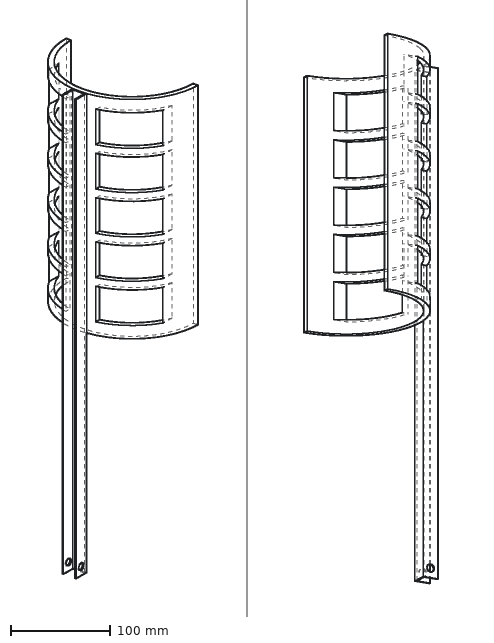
import cadquery as cq

shell_width = 170.0
shell_radius = shell_width / 2
shell_thickness = 6.5
shell_height = 270.0

window_rows = 5
window_height = 40.0
window_end_margin = 15.0
window_pitch = (shell_height - 2 * window_end_margin - window_height) / (window_rows - 1)
window_width = 54.5
left_window_x = -74.5
right_window_x = 19.0

rail_length = 540.0
rail_width = 18.0
rail_wall = 1.5
rail_front_y = -102.0
rail_back_y = -shell_radius
rail_depth = rail_back_y - rail_front_y

hole_diameter = 8.0
hole_height = 10.0

shell_bottom_z = rail_length - shell_height


def block(x_range, y_range, z_range):
    """Axis-aligned box between the given limits."""
    size = [high - low for low, high in (x_range, y_range, z_range)]
    corner = (x_range[0], y_range[0], z_range[0])
    return cq.Workplane("XY").box(*size, centered=False).translate(corner)


def make_shell():
    """Half tube with a column of windows on each side."""
    inner_radius = shell_radius - shell_thickness
    shell = (
        cq.Workplane("XY", origin=(0, 0, shell_bottom_z))
        .moveTo(-shell_radius, 0)
        .threePointArc((0, -shell_radius), (shell_radius, 0))
        .lineTo(inner_radius, 0)
        .threePointArc((0, -inner_radius), (-inner_radius, 0))
        .close()
        .extrude(shell_height)
    )
    for row in range(window_rows):
        window_bottom_z = shell_bottom_z + window_end_margin + row * window_pitch
        z_range = (window_bottom_z, window_bottom_z + window_height)
        for window_x in (left_window_x, right_window_x):
            x_range = (window_x, window_x + window_width)
            shell = shell.cut(block(x_range, (-shell_radius, 0), z_range))
    return shell


def make_rail():
    """Thin U-channel with a cross hole through its two flanges."""
    half_width = rail_width / 2
    bar = block((-half_width, half_width), (rail_front_y, rail_back_y), (0, rail_length))
    half_inside = half_width - rail_wall
    channel = block(
        (-half_inside, half_inside),
        (rail_front_y, rail_back_y - rail_wall),
        (0, rail_length),
    )
    hole = (
        cq.Workplane("YZ")
        .center(rail_front_y + rail_depth / 2, hole_height)
        .circle(hole_diameter / 2)
        .extrude(rail_width, both=True)
    )
    return bar.cut(channel).cut(hole)


shell = make_shell()
rail = make_rail()
result = cq.Compound.makeCompound([shell.val(), rail.val()])